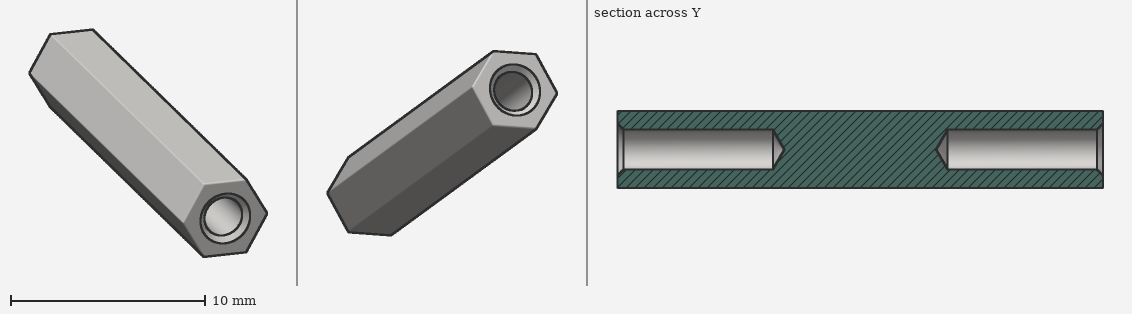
import cadquery as cq
import math

length = 25.0
hex_sides = 6
across_flats = 4.0
edge_radius = 0.1

bore_diameter = 2.05
countersink_diameter = 2.7
countersink_angle = 90.0
bore_depth = 8.0
drill_point_angle = 120.0

across_corners = across_flats / math.cos(math.radians(180 / hex_sides))
half_length = length / 2
bore_radius = bore_diameter / 2
countersink_radius = countersink_diameter / 2


def cone_depth(radius_change, included_angle):
    """Axial length of a cone over which its radius changes by the given amount."""
    return radius_change / math.tan(math.radians(included_angle / 2))


def hex_body():
    """Hexagonal bar with corners on the Y axis and every edge rounded."""
    return (
        cq.Workplane("YZ")
        .polygon(hex_sides, across_corners)
        .extrude(half_length, both=True)
        .edges()
        .fillet(edge_radius)
    )


def left_bore():
    """Countersunk hole with a conical bottom, entering from the -X end."""
    countersink_end = -half_length + cone_depth(countersink_radius - bore_radius, countersink_angle)
    bore_end = -half_length + bore_depth
    point_tip = bore_end + cone_depth(bore_radius, drill_point_angle)
    return (
        cq.Workplane("XY")
        .moveTo(-half_length, 0)
        .lineTo(-half_length, countersink_radius)
        .lineTo(countersink_end, bore_radius)
        .lineTo(bore_end, bore_radius)
        .lineTo(point_tip, 0)
        .close()
        .revolve(360, (0, 0, 0), (1, 0, 0))
    )


bore = left_bore()
result = hex_body().cut(bore).cut(bore.mirror("YZ"))